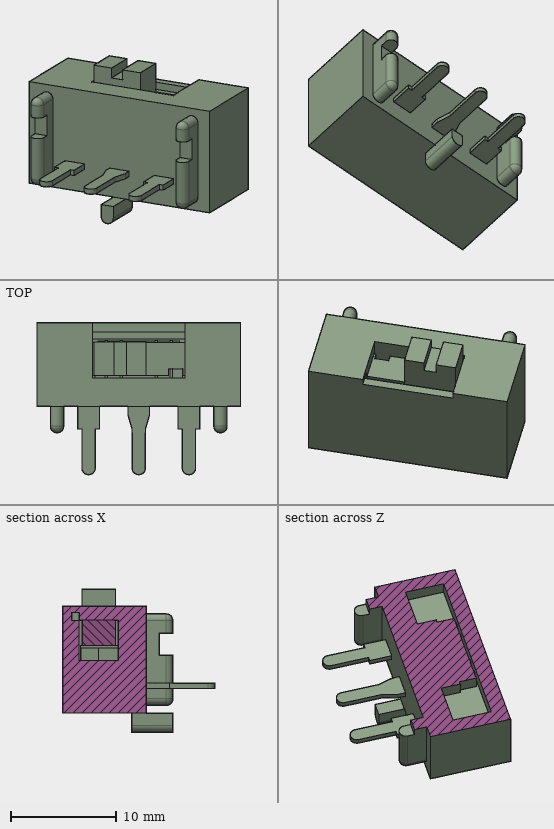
import cadquery as cq


housing_length = 19.3
housing_depth = 7.94
housing_height = 10.16

window_length = 8.74
window_front_y = 2.67
back_ledge_depth = 0.87
back_ledge_drop = 0.63

top_plate = 1.35
cavity_length = 16.4
cavity_floor_z = 5.0
groove_depth = 0.68
groove_back_y = housing_depth - back_ledge_depth
cavity_back_y = groove_back_y - groove_depth
cavity_top_z = housing_height - top_plate

base_length = 7.74
base_height = 1.2
base_front_length = 8.32
base_front_depth = 1.86
base_back_gap = 0.19
contact_rib_width = 0.24
contact_rib_overhang = 0.06
contact_rib_rise = 0.2
contact_rib_offsets = [1.64, 3.08]
base_top_z = cavity_floor_z + base_height
slider_bottom_z = base_top_z + contact_rib_rise

peg_spacing = 15.5
peg_radius = 0.64
peg_height = 8.7
peg_reach = 2.52
peg_notch_top_drop = 2.6
peg_notch_height = 2.05
peg_notch_depth = 1.3

terminal_spacing = 4.76
terminal_reach = 6.49
terminal_thickness = 0.52
terminal_bottom_z = 2.32
shoulder_width = 2.08
shoulder_reach = 2.17
taper_start = 0.8
blade_width = 1.28

key_width = 1.3
key_drop = 1.82
key_back_y = 1.4

slider_center_x = -1.77
knob_length = 4.96
knob_rise = 1.61
slider_front_y = window_front_y + 0.25
slider_back_y = cavity_back_y - 0.28
carriage_back_y = slider_back_y - 0.04
carriage_length = 12.7
knob_slot_width = 1.18
knob_slot_depth = 0.99
carriage_notch_start_x = 2.82
carriage_notch_length = 1.36
carriage_notch_depth = 0.64


def block(x_range, y_range, z_range):
    """Box that fills the given X, Y and Z ranges."""
    size = [high - low for low, high in (x_range, y_range, z_range)]
    corner = (x_range[0], y_range[0], z_range[0])
    return cq.Workplane("XY").box(*size, centered=False).translate(corner)


def centered_range(length, center=0):
    """Range of the given length about a center."""
    return (center - length / 2, center + length / 2)


def make_shell():
    """Housing block with its window, cavity and back groove."""
    shell = block(centered_range(housing_length), (0, housing_depth), (0, housing_height))
    window_x = centered_range(window_length)
    cavity_x = centered_range(cavity_length)
    window = block(window_x, (window_front_y, groove_back_y), (cavity_top_z, housing_height))
    ledge_z = housing_height - back_ledge_drop
    ledge = block(window_x, (groove_back_y, housing_depth), (ledge_z, housing_height))
    cavity = block(cavity_x, (window_front_y, cavity_back_y), (cavity_floor_z, cavity_top_z))
    groove = block(cavity_x, (cavity_back_y, groove_back_y), (cavity_top_z, ledge_z))
    return shell.cut(window).cut(ledge).cut(cavity).cut(groove)


def make_contact_base():
    """Plate on the cavity floor, wider at the front, crossed by narrow ribs that carry the slider."""
    base_back_y = cavity_back_y - base_back_gap
    base_y = (window_front_y, base_back_y)
    front_y = (window_front_y, window_front_y + base_front_depth)
    base_z = (cavity_floor_z, base_top_z)
    base = block(centered_range(base_length), base_y, base_z)
    base = base.union(block(centered_range(base_front_length), front_y, base_z))
    rib_y = (window_front_y, base_back_y + contact_rib_overhang)
    for offset in contact_rib_offsets:
        for side in (-1, 1):
            rib_x = centered_range(contact_rib_width, side * offset)
            base = base.union(block(rib_x, rib_y, (cavity_floor_z, slider_bottom_z)))
    return base


def make_snap_peg(center_x):
    """Upright peg with round ends, a round nose and a notch across the nose."""
    nose_y = peg_radius - peg_reach
    low_z = (housing_height - peg_height) / 2 + peg_radius
    high_z = (housing_height + peg_height) / 2 - peg_radius
    straight = high_z - low_z
    peg = block(centered_range(2 * peg_radius), (nose_y, 0), (low_z, high_z))
    peg = peg.union(cq.Workplane("XY", origin=(0, nose_y, low_z)).circle(peg_radius).extrude(straight))
    for end_z in (low_z, high_z):
        end = cq.Workplane("XZ", origin=(0, 0, end_z)).circle(peg_radius).extrude(-nose_y)
        tip = cq.Workplane("XY").sphere(peg_radius).translate((0, nose_y, end_z))
        peg = peg.union(end).union(tip)
    notch_top_z = housing_height - peg_notch_top_drop
    notch = block(
        centered_range(2 * peg_radius),
        (-peg_reach, peg_notch_depth - peg_reach),
        (notch_top_z - peg_notch_height, notch_top_z),
    )
    return peg.cut(notch).translate((center_x, 0, 0))


def make_terminal(center_x, shoulder_end):
    """Flat terminal with a wide root that narrows between shoulder_end and the blade."""
    half_root = shoulder_width / 2
    half_blade = blade_width / 2
    tip_start_y = half_blade - terminal_reach
    outline = (
        cq.Workplane("XY", origin=(center_x, 0, terminal_bottom_z))
        .moveTo(-half_root, 0)
        .lineTo(-half_root, -shoulder_end)
        .lineTo(-half_blade, -shoulder_reach)
        .lineTo(-half_blade, tip_start_y)
        .threePointArc((0, -terminal_reach), (half_blade, tip_start_y))
        .lineTo(half_blade, -shoulder_reach)
        .lineTo(half_root, -shoulder_end)
        .lineTo(half_root, 0)
        .close()
    )
    return outline.extrude(terminal_thickness)


def make_key():
    """Key with a round underside, running forward past the terminal face."""
    half = key_width / 2
    outline = (
        cq.Workplane("XZ", origin=(0, key_back_y, 0))
        .moveTo(-half, 0)
        .lineTo(-half, half - key_drop)
        .threePointArc((0, -key_drop), (half, half - key_drop))
        .lineTo(half, 0)
        .close()
    )
    return outline.extrude(key_back_y + peg_reach)


def make_housing():
    """Housing with its contact base, snap pegs, terminals and key."""
    housing = make_shell().union(make_contact_base()).union(make_key())
    for side in (-1, 1):
        housing = housing.union(make_snap_peg(side * peg_spacing / 2))
        housing = housing.union(make_terminal(side * terminal_spacing, shoulder_reach))
    return housing.union(make_terminal(0, taper_start))


def make_slider():
    """Carriage in the cavity with a slotted knob standing through the window."""
    knob_top_z = housing_height + knob_rise
    carriage = block(
        centered_range(carriage_length, slider_center_x),
        (slider_front_y, carriage_back_y),
        (slider_bottom_z, cavity_top_z),
    )
    notch = block(
        (carriage_notch_start_x, carriage_notch_start_x + carriage_notch_length),
        (slider_front_y, slider_front_y + carriage_notch_depth),
        (slider_bottom_z, cavity_top_z),
    )
    slider_y = (slider_front_y, slider_back_y)
    knob = block(centered_range(knob_length, slider_center_x), slider_y, (slider_bottom_z, knob_top_z))
    slot = block(
        centered_range(knob_slot_width, slider_center_x),
        slider_y,
        (knob_top_z - knob_slot_depth, knob_top_z),
    )
    return carriage.cut(notch).union(knob).cut(slot)


housing = make_housing()
slider = make_slider()

result = cq.Compound.makeCompound([housing.val(), slider.val()])